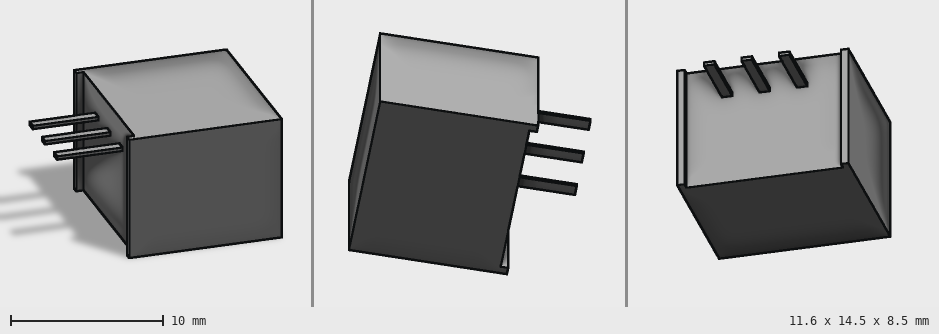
import cadquery as cq

case_width = 11.6
case_depth = 10.5
case_height = 8.5

rail_width = 0.5
rail_depth = 0.5

pin_count = 3
pin_pitch = 2.54
pin_width = 0.7
pin_thickness = 0.25
pin_reach = 4.0
pin_top_offset = 2.0

pin_z = case_height / 2 - pin_top_offset
pin_length = pin_reach + rail_depth


def make_case():
    """Block with a shallow full-height recess between two rails."""
    block = cq.Workplane("XY").box(case_width, case_depth, case_height, centered=(True, False, True))
    recess_width = case_width - 2 * rail_width
    recess = cq.Workplane("XY").box(recess_width, rail_depth, case_height, centered=(True, False, True))
    return block.cut(recess)


def make_pin(x):
    """Flat pin running from the recess floor toward -Y."""
    return (
        cq.Workplane("XY")
        .box(pin_width, pin_length, pin_thickness, centered=(True, False, True))
        .translate((x, -pin_reach, pin_z))
    )


result = make_case()
for index in range(pin_count):
    pin_x = (index - (pin_count - 1) / 2) * pin_pitch
    result = result.union(make_pin(pin_x))